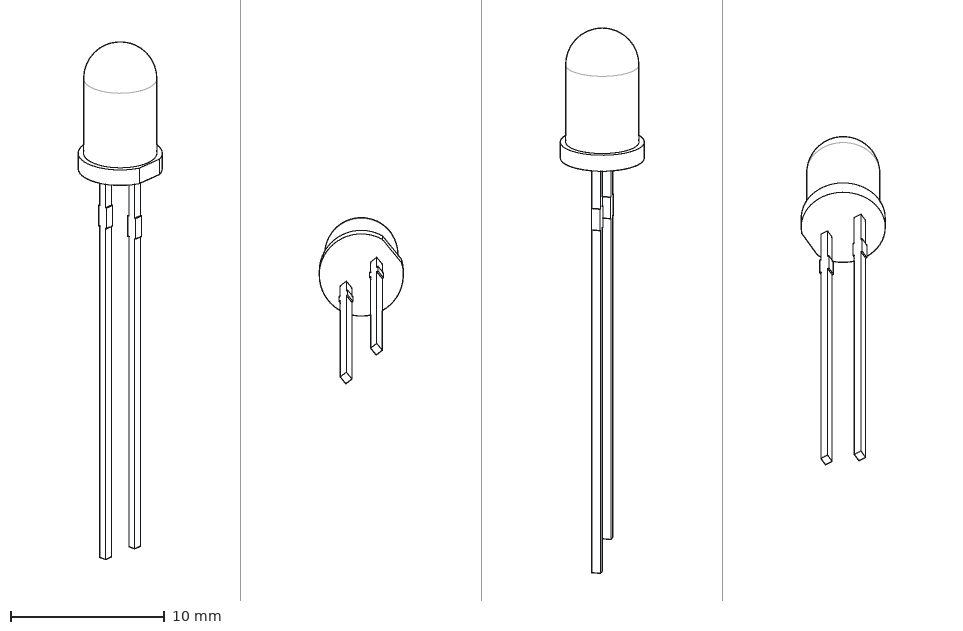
import cadquery as cq

total_height = 36.8

lens_diameter = 4.8
flange_diameter = 5.5
flange_width_across_flat = 5.3
flange_height = 1.1
flange_bottom = 28.0

lead_spacing = 2.55
lead_width = 0.5
lead_depth = 0.6
short_lead_bottom = 1.5
collar_width = 0.7
collar_height = 1.47
collar_drop = 2.98

lens_radius = lens_diameter / 2
dome_start = total_height - lens_radius
collar_bottom = flange_bottom - collar_drop - collar_height


def bar(x, width, bottom, top):
    """Upright rectangular bar centred on (x, 0)."""
    return (
        cq.Workplane("XY", origin=(x, 0, bottom))
        .rect(width, lead_depth)
        .extrude(top - bottom)
    )


def make_lens():
    """Cylinder and dome, revolved about Z from a half profile."""
    return (
        cq.Workplane("XZ")
        .moveTo(0, flange_bottom)
        .lineTo(lens_radius, flange_bottom)
        .lineTo(lens_radius, dome_start)
        .radiusArc((0, total_height), -lens_radius)
        .close()
        .revolve(360, (0, 0, 0), (0, 1, 0))
    )


def make_flange():
    """Round flange trimmed by a flat on its +X side."""
    flange = (
        cq.Workplane("XY", origin=(0, 0, flange_bottom))
        .circle(flange_diameter / 2)
        .extrude(flange_height)
    )
    flat_trim = (
        cq.Workplane("XY", origin=(-flange_diameter / 2, 0, flange_bottom))
        .rect(2 * flange_width_across_flat, 2 * flange_diameter)
        .extrude(flange_height)
    )
    return flange.intersect(flat_trim)


def make_lead(x, bottom):
    """Lead ending at the flange underside, with its collar."""
    collar = bar(x, collar_width, collar_bottom, collar_bottom + collar_height)
    return bar(x, lead_width, bottom, flange_bottom).union(collar)


result = make_lens().union(make_flange())
for lead_x, lead_bottom in (
    (-lead_spacing / 2, 0.0),
    (lead_spacing / 2, short_lead_bottom),
):
    result = result.union(make_lead(lead_x, lead_bottom))